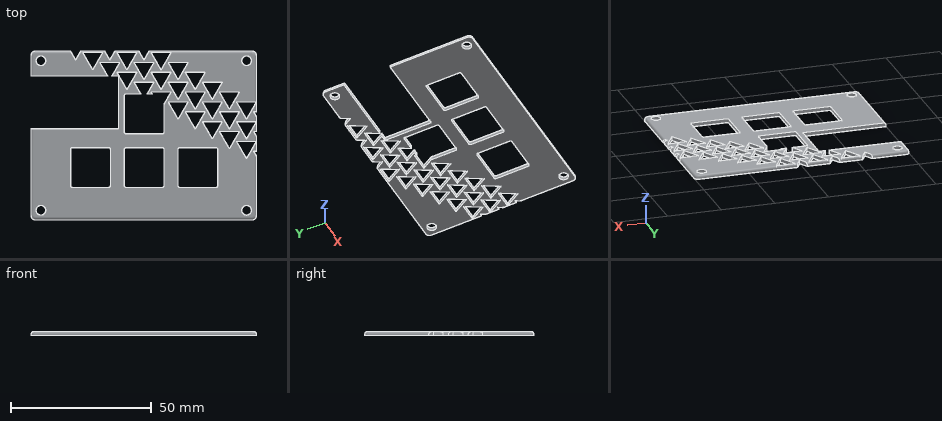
import cadquery as cq
import math

length = 80.0
width = 60.0
thickness = 1.5
corner_radius = 1.5
edge_radius = 1.0

screw_diameter = 3.4
screw_spacing_x = 73.0
screw_spacing_y = 53.0

switch_size = 14.0
switch_corner_radius = 0.5
switch_pitch = 19.0
switch_center_x = 0.2
switch_row_y = -11.4

notch_depth = 31.0
notch_width = 18.6
notch_top_gap = 9.0

triangle_radius = 4.0
span_pitches = 4
span_length = 28.0
triangle_pitch = span_length / span_pitches
column_pitch = triangle_pitch * math.sqrt(3) / 2
row_pitch = triangle_pitch / 2
grid_center_x = 0.1
grid_center_y = 27.4
first_column = -4
last_column = 7
diagonal_offsets = (-1, 1, 3)


def rounded_plate():
    plate = cq.Workplane("XY").box(length, width, thickness, centered=(True, True, False))
    return plate.edges("|Z").fillet(corner_radius).faces(">Z").edges().fillet(edge_radius)


def screw_holes():
    corners = cq.Workplane("XY").rect(screw_spacing_x, screw_spacing_y, forConstruction=True)
    return corners.vertices().circle(screw_diameter / 2).extrude(thickness)


def switch_openings():
    centers = [(switch_center_x + column * switch_pitch, switch_row_y) for column in (-1, 0, 1)]
    centers.append((switch_center_x, switch_row_y + switch_pitch))
    openings = cq.Workplane("XY").pushPoints(centers).rect(switch_size, switch_size).extrude(thickness)
    return openings.edges("|Z").fillet(switch_corner_radius)


def side_notch():
    center_x = (notch_depth - length) / 2
    center_y = (width - notch_width) / 2 - notch_top_gap
    return cq.Workplane("XY").center(center_x, center_y).rect(notch_depth, notch_width).extrude(thickness)


def triangle_centers():
    """Grid places whose triangles reach into the plate; each column to the +X side steps down by one row."""
    centers = []
    for column in range(first_column, last_column + 1):
        for offset in diagonal_offsets:
            x = grid_center_x + column * column_pitch
            y = grid_center_y - (column + offset) * row_pitch
            if y - triangle_radius < width / 2:
                centers.append((x, y))
    return centers


def triangle_opening(x, y):
    half_side = triangle_radius * math.sqrt(3) / 2
    top = y + triangle_radius / 2
    corners = [(x - half_side, top), (x + half_side, top), (x, y - triangle_radius)]
    return cq.Workplane("XY").polyline(corners).close().extrude(thickness)


result = rounded_plate().cut(screw_holes()).cut(switch_openings()).cut(side_notch())
for center_x, center_y in triangle_centers():
    result = result.cut(triangle_opening(center_x, center_y))